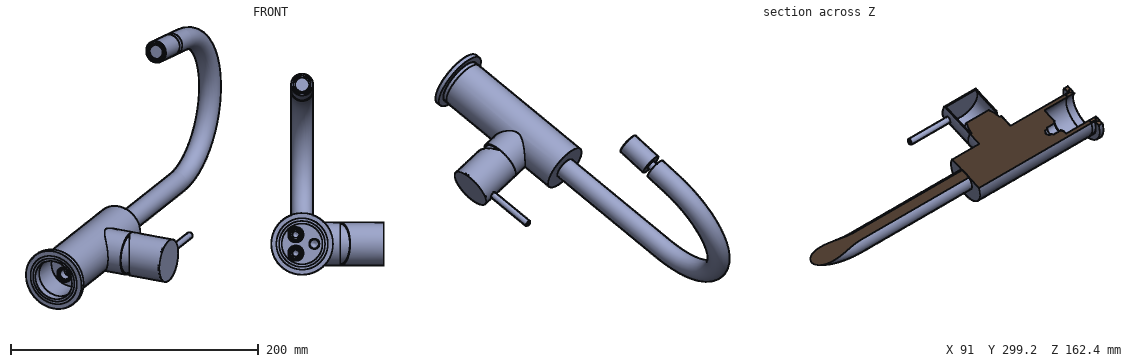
import cadquery as cq
import math


flange_radius = 50.0 / 2
flange_height = 4.0
bore_radius = 16.5
spigot_radius = 19.5
spigot_end = 7.2
housing_radius = 39.8 / 2
housing_top = 120.0
bore_depth = 30.0

seal_inner_radius = 18.5
seal_outer_radius = 41.5 / 2
seal_height = 2.5

inlet_x = -5.0
inlet_z = 7.5
inlet_profile = [
    (6.3, 0.0), (6.3, 0.5), (5.5, 0.5), (4.2, 1.2),
    (4.2, 9.0), (2.7, 9.5), (2.7, 12.0), (0.0, 13.5),
]
stud_x = 10.0
stud_profile = [(4.2, 0.0), (3.5, 1.0), (3.5, 12.0), (0.0, 14.0)]

overall_width = 91.0
valve_y = 77.2
valve_radius = 35.0 / 2
neck_end = 30.8
core_profile = [(neck_end, 16.2), (36.5, 15.3), (42.0, 13.5)]
cap_bore_radius = 16.5
cap_end_wall = 1.5
handle_end = overall_width - flange_radius
relief_end = 39.0

lever_x = 57.7
lever_radius = 2.7
lever_inner_end = 15.0
lever_tip = 134.0
lever_chamfer = 1.0

spout_radius = 9.0
overall_length = 299.2
bend_radius = 61.0
tip_angle = 8.5
collar_length = 18.5

swivel_radius = 7.5 / 2
swivel_gap = 4.8
swivel_socket = 3.0
nozzle_length = 25.7
nozzle_chamfer = 0.3
aerator_radius = 5.7
aerator_depth = 6.0
rim_recess_radius = 7.2
rim_recess_depth = 0.5

bend_y = overall_length - spout_radius - bend_radius
tilt = math.radians(tip_angle)
bend_end = (bend_y + bend_radius * math.sin(tilt), bend_radius * (1 + math.cos(tilt)))
nozzle_end = collar_length + swivel_gap + nozzle_length
tip_direction = (0, -math.cos(tilt), math.sin(tilt))


def cylinder_y(radius, start, end):
    """Cylinder on the column axis between two heights."""
    return cq.Workplane("XZ", origin=(0, start, 0)).circle(radius).extrude(start - end)


def cylinder_x(radius, start, end):
    """Cylinder on the valve axis between two X positions."""
    return cq.Workplane("YZ", origin=(start, valve_y, 0)).circle(radius).extrude(end - start)


def tip_plane(distance):
    """Plane across the spout tip axis, a given distance past the end of the bend."""
    y = bend_end[0] + distance * tip_direction[1]
    z = bend_end[1] + distance * tip_direction[2]
    return cq.Plane(origin=(0, y, z), xDir=(1, 0, 0), normal=tip_direction)


def tip_cylinder(radius, start, end):
    """Cylinder on the spout tip axis between two distances past the bend."""
    return cq.Workplane(tip_plane(start)).circle(radius).extrude(end - start)


def port(profile, x, z):
    """Revolved cutter for a drilled port that starts in the floor of the bore."""
    points = [(0, bore_depth)] + [(radius, bore_depth + depth) for radius, depth in profile]
    return (
        cq.Workplane("XY")
        .polyline(points)
        .close()
        .revolve(360, (0, 0, 0), (0, 1, 0))
        .translate((x, 0, z))
    )


def make_flange():
    flange = cylinder_y(flange_radius, 0, flange_height)
    flange = flange.union(cylinder_y(spigot_radius, 0, spigot_end))
    return flange.cut(cylinder_y(bore_radius, 0, spigot_end)).cut(make_seal())


def make_seal():
    return cylinder_y(seal_outer_radius, 0, seal_height).cut(cylinder_y(seal_inner_radius, 0, seal_height))


def make_core():
    """Tapered core that the handle turns around; it becomes part of the housing."""
    core_end = core_profile[-1][0]
    points = [(neck_end, 0)] + core_profile + [(core_end, 0)]
    core = cq.Workplane("XY").polyline(points).close().revolve(360, (0, 0, 0), (1, 0, 0))
    return core.translate((0, valve_y, 0))


def make_housing():
    housing = cylinder_y(housing_radius, flange_height, housing_top)
    housing = housing.union(cylinder_x(valve_radius, 0, neck_end))
    housing = housing.union(make_core())
    housing = housing.cut(cylinder_y(spigot_radius, flange_height, spigot_end))
    housing = housing.cut(cylinder_y(bore_radius, spigot_end, bore_depth))
    for z in (-inlet_z, inlet_z):
        housing = housing.cut(port(inlet_profile, inlet_x, z))
    return housing.cut(port(stud_profile, stud_x, 0))


def make_lever():
    lever = cylinder_y(lever_radius, valve_y + lever_inner_end, lever_tip)
    return lever.faces(">Y").chamfer(lever_chamfer).translate((lever_x, 0, 0))


def make_handle():
    handle = cylinder_x(valve_radius, neck_end, handle_end)
    relief = (
        cq.Workplane("XY", origin=(0, 0, -valve_radius))
        .moveTo(neck_end, valve_y)
        .lineTo(relief_end, valve_y - valve_radius)
        .lineTo(neck_end, valve_y - valve_radius)
        .close()
        .extrude(2 * valve_radius)
    )
    cavity = cylinder_x(cap_bore_radius, neck_end, handle_end - cap_end_wall)
    return handle.cut(relief).cut(cavity).cut(make_lever())


def make_swivel():
    start = collar_length - swivel_socket
    end = collar_length + swivel_gap + swivel_socket
    return tip_cylinder(swivel_radius, start, end)


def make_spout():
    bend_middle = (bend_y + bend_radius * math.cos(tilt / 2), bend_radius * (1 - math.sin(tilt / 2)))
    tip = tip_plane(collar_length).origin
    path = (
        cq.Workplane("YZ")
        .moveTo(housing_top, 0)
        .lineTo(bend_y, 0)
        .threePointArc(bend_middle, bend_end)
        .lineTo(tip.y, tip.z)
    )
    spout = cq.Workplane("XZ", origin=(0, housing_top, 0)).circle(spout_radius).sweep(path)
    return spout.cut(make_swivel())


def make_aerator():
    return tip_cylinder(aerator_radius, nozzle_end - aerator_depth, nozzle_end - rim_recess_depth)


def make_nozzle():
    start = collar_length + swivel_gap
    nozzle = tip_cylinder(spout_radius, start, nozzle_end)
    nozzle = nozzle.faces("<Y").chamfer(nozzle_chamfer)
    nozzle = nozzle.cut(tip_cylinder(aerator_radius, nozzle_end - aerator_depth, nozzle_end))
    rim_recess = tip_cylinder(rim_recess_radius, nozzle_end - rim_recess_depth, nozzle_end)
    nozzle = nozzle.cut(rim_recess)
    return nozzle.cut(make_swivel())


flange = make_flange()
seal = make_seal()
housing = make_housing()
handle = make_handle()
lever = make_lever()
spout = make_spout()
swivel = make_swivel()
nozzle = make_nozzle()
aerator = make_aerator()

bodies = [flange, seal, housing, handle, lever, spout, swivel, nozzle, aerator]
result = cq.Compound.makeCompound([body.val() for body in bodies])